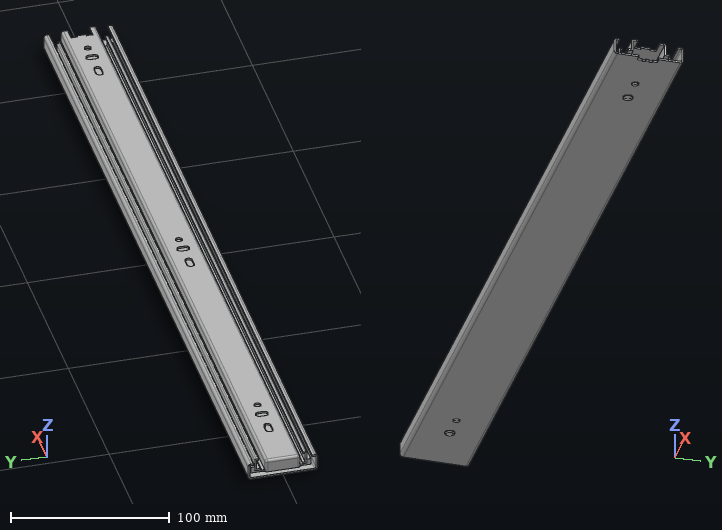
import cadquery as cq


LENGTH = 500.5
WIDTH = 45.5
HEIGHT = 12.5
SHEET = 1.25
X_START = -LENGTH / 2
X_END = LENGTH / 2
BOTTOM = -HEIGHT / 2
TOP = HEIGHT / 2

OUTER_HEIGHT = 11.5
OUTER_TOP = BOTTOM + OUTER_HEIGHT
OUTER_LIP_EDGE = 19.0
OUTER_BOTTOM_BEND = 2.25
OUTER_TOP_BEND = 2.0

RETAINER_START = -245.0
RETAINER_END = 239.5
RETAINER_LEG = 2.5
RETAINER_HALF_WIDTH = 19.5
RETAINER_TOP = -0.75
RETAINER_BOTTOM = BOTTOM + SHEET

MIDDLE_START = RETAINER_START
MIDDLE_END = RETAINER_END
MIDDLE_HALF_WIDTH = RETAINER_HALF_WIDTH - RETAINER_LEG
MIDDLE_TOP = 5.0
MIDDLE_LIP_EDGE = 14.5
MIDDLE_BOTTOM = RETAINER_BOTTOM + SHEET
MIDDLE_BEND = 1.0

INNER_HALF_WIDTH = 11.5
INNER_FOOT_EDGE = 13.5
INNER_BOTTOM = MIDDLE_BOTTOM + SHEET
INNER_BEND = 1.7
FRONT_BEND = 1.65

SLOT_GROUPS_X = [-214.5, -22.0, 201.0]
CROSS_SLOT_OFFSET = 16.0
ROUND_HOLE_OFFSET = 26.5
LONG_SLOT_LENGTH = 9.5
LONG_SLOT_WIDTH = 4.5
CROSS_SLOT_LENGTH = 8.0
CROSS_SLOT_WIDTH = 4.9
ROUND_HOLE_DIAMETER = 4.25

SCREW_HOLES_X = [SLOT_GROUPS_X[0], SLOT_GROUPS_X[-1]]
SCREW_HOLE_DIAMETER = 6.5
SMALL_SCREW_HOLES_X = [-199.0, 218.0]
SMALL_SCREW_HOLE_DIAMETER = 4.5

INNER_NOTCH_DEPTH = 8.5
INNER_NOTCH_WIDTH = 14.0
TONGUE_LENGTH = 1.25
TONGUE_WIDTH = 6.0
OUTER_NOTCH_DEPTH = 3.5
OUTER_NOTCH_WIDTH = 13.0
SCALLOP_DIAMETER = 2.5
SCALLOP_OFFSET = 2.25


def box(x0, x1, half_width, z0, z1):
    """Block symmetric about Y = 0 between the given X and Z limits."""
    return cq.Workplane("XY").box(x1 - x0, 2 * half_width, z1 - z0).translate(
        ((x0 + x1) / 2, 0, (z0 + z1) / 2)
    )


def rounded_bar(x0, x1, half_width, z0, z1, bottom_radius, top_radius):
    """Block whose lower and upper lengthwise edges are rounded where the radius is not zero."""
    bar = box(x0, x1, half_width, z0, z1)
    if bottom_radius > 0:
        bar = bar.edges("|X and <Z").fillet(bottom_radius)
    if top_radius > 0:
        bar = bar.edges("|X and >Z").fillet(top_radius)
    return bar


def bent_channel(x0, x1, half_width, z0, z1, bottom_bend, top_bend, lip_edge):
    """Sheet channel open at the top, its side walls bent inward up to the lip edge."""
    outside = rounded_bar(x0, x1, half_width, z0, z1, bottom_bend, top_bend)
    inside = rounded_bar(
        x0, x1, half_width - SHEET, z0 + SHEET, z1 - SHEET,
        max(bottom_bend - SHEET, 0), max(top_bend - SHEET, 0),
    )
    opening = box(x0, x1, lip_edge, z0 + SHEET, z1)
    return outside.cut(inside).cut(opening)


def slot_cutter(x, length, width, angle=0):
    """Vertical obround cutter through the full height of the slide."""
    return (
        cq.Workplane("XY", origin=(x, 0, BOTTOM))
        .slot2D(length, width, angle)
        .extrude(HEIGHT)
    )


def cut_round_holes(body, centres_x, diameter):
    """Cut vertical round holes on the X axis through a body."""
    cutter = (
        cq.Workplane("XY", origin=(0, 0, BOTTOM))
        .pushPoints([(x, 0) for x in centres_x])
        .circle(diameter / 2)
        .extrude(HEIGHT)
    )
    return body.cut(cutter)


def cut_screw_holes(body):
    """Cut the screw holes shared by the members below the inner rail."""
    body = cut_round_holes(body, SCREW_HOLES_X, SCREW_HOLE_DIAMETER)
    return cut_round_holes(body, SMALL_SCREW_HOLES_X, SMALL_SCREW_HOLE_DIAMETER)


def make_outer_rail():
    rail = bent_channel(
        X_START, X_END, WIDTH / 2, BOTTOM, OUTER_TOP,
        OUTER_BOTTOM_BEND, OUTER_TOP_BEND, OUTER_LIP_EDGE,
    )
    rail = cut_screw_holes(rail)
    notch_x = X_END - OUTER_NOTCH_DEPTH
    rail = rail.cut(box(notch_x, X_END, OUTER_NOTCH_WIDTH / 2, BOTTOM, OUTER_TOP))
    scallops = (
        cq.Workplane("XY", origin=(notch_x, 0, BOTTOM))
        .pushPoints([(0, -SCALLOP_OFFSET), (0, SCALLOP_OFFSET)])
        .circle(SCALLOP_DIAMETER / 2)
        .extrude(SHEET)
    )
    return rail.cut(scallops)


def make_retainer():
    channel = box(RETAINER_START, RETAINER_END, RETAINER_HALF_WIDTH, RETAINER_BOTTOM, RETAINER_TOP)
    channel = channel.cut(
        box(RETAINER_START, RETAINER_END, MIDDLE_HALF_WIDTH, MIDDLE_BOTTOM, RETAINER_TOP)
    )
    return cut_screw_holes(channel)


def make_middle_rail():
    rail = bent_channel(
        MIDDLE_START, MIDDLE_END, MIDDLE_HALF_WIDTH, MIDDLE_BOTTOM, MIDDLE_TOP,
        0, MIDDLE_BEND, MIDDLE_LIP_EDGE,
    )
    return cut_screw_holes(rail)


def make_inner_rail():
    hat = box(X_START, X_END, INNER_HALF_WIDTH, INNER_BOTTOM, TOP)
    hat = hat.edges("|X and >Z").fillet(INNER_BEND).edges("<X and >Z").fillet(FRONT_BEND)
    cavity = box(X_START + SHEET, X_END, INNER_HALF_WIDTH - SHEET, INNER_BOTTOM, TOP - SHEET)
    feet = box(X_START + SHEET, X_END, INNER_FOOT_EDGE, INNER_BOTTOM, INNER_BOTTOM + SHEET)
    rail = hat.union(feet).cut(cavity)
    for x in SLOT_GROUPS_X:
        rail = rail.cut(slot_cutter(x, LONG_SLOT_LENGTH, LONG_SLOT_WIDTH))
        rail = rail.cut(slot_cutter(x + CROSS_SLOT_OFFSET, CROSS_SLOT_LENGTH, CROSS_SLOT_WIDTH, 90))
    rail = cut_round_holes(rail, [x + ROUND_HOLE_OFFSET for x in SLOT_GROUPS_X], ROUND_HOLE_DIAMETER)
    notch_x = X_END - INNER_NOTCH_DEPTH
    notch = box(notch_x, X_END, INNER_NOTCH_WIDTH / 2, BOTTOM, TOP)
    tongue = box(notch_x, notch_x + TONGUE_LENGTH, TONGUE_WIDTH / 2, BOTTOM, TOP)
    return rail.cut(notch.cut(tongue))


outer_rail = make_outer_rail()
retainer = make_retainer()
middle_rail = make_middle_rail()
inner_rail = make_inner_rail()

result = cq.Compound.makeCompound(
    [outer_rail.val(), retainer.val(), middle_rail.val(), inner_rail.val()]
)